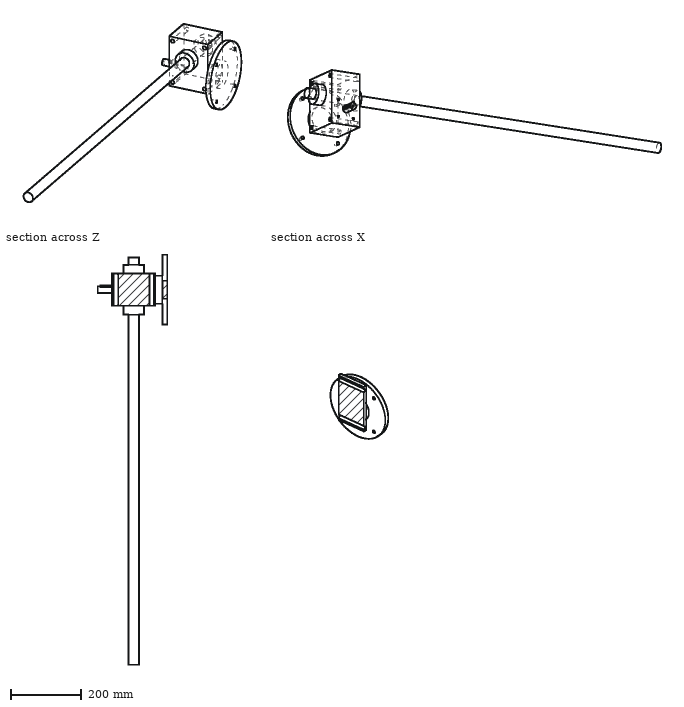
import cadquery as cq


OVERALL_LENGTH = 1170.0
FLANGE_DIAMETER = 200.0

HOUSING_LENGTH = 124.0
HOUSING_WIDTH = 92.0
HOUSING_HEIGHT = 157.0
AXIS_SPACING = 50.0
ROD_TO_TOP = 60.0
HOUSING_TOP = AXIS_SPACING + ROD_TO_TOP
HOUSING_MIDDLE = HOUSING_TOP - HOUSING_HEIGHT / 2
HOUSING_FACE = HOUSING_LENGTH / 2
HOUSING_SIDE = HOUSING_WIDTH / 2

BOSS_DIAMETER = 60.0
BOSS_LENGTH = 25.0

CORNER_HOLE_DIAMETER = 11.0
CORNER_PITCH_X = 102.0
CORNER_PITCH_Z = 130.0

FACE_HOLE_DIAMETER = 4.9
FACE_HOLE_PITCH = 49.0
FACE_HOLE_DEPTH = 12.0

FLANGE_THICKNESS = 14.0
NECK_DIAMETER = 81.0
NECK_LENGTH = 20.0
FLANGE_HOLE_DIAMETER = 8.4
FLANGE_BOLT_CIRCLE = 165.0
FLANGE_HOLE_COUNT = 4
FLANGE_HOLE_ANGLE = 45

ROD_DIAMETER = 30.0
ROD_STUB = 21.0
ROD_REAR = HOUSING_SIDE + BOSS_LENGTH + ROD_STUB
ROD_LENGTH = OVERALL_LENGTH - FLANGE_DIAMETER / 2 + ROD_REAR

SHAFT_DIAMETER = 20.0
SHAFT_LENGTH = 41.0
CENTRE_HOLE_DIAMETER = 4.9
CENTRE_HOLE_DEPTH = 12.0

KEY_LENGTH = 32.0
KEY_WIDTH = 6.0
KEY_HEIGHT = 6.0
KEY_PROTRUSION = 2.0
KEY_END_GAP = 7.0


def cylinder_along_x(diameter, x_start, length):
    """Cylinder on the worm axis, growing towards +X."""
    return cq.Workplane("YZ", origin=(x_start, 0, 0)).circle(diameter / 2).extrude(length)


def cylinder_along_y(diameter, y_rear, length):
    """Cylinder on the rod axis, growing towards -Y."""
    return cq.Workplane("XZ", origin=(0, y_rear, AXIS_SPACING)).circle(diameter / 2).extrude(length)


def make_rod():
    return cylinder_along_y(ROD_DIAMETER, ROD_REAR, ROD_LENGTH)


def make_key():
    x_start = -HOUSING_FACE - SHAFT_LENGTH + KEY_END_GAP
    y_centre = SHAFT_DIAMETER / 2 + KEY_PROTRUSION - KEY_HEIGHT / 2
    return cq.Workplane("XY").box(KEY_LENGTH, KEY_HEIGHT, KEY_WIDTH).translate(
        (x_start + KEY_LENGTH / 2, y_centre, 0)
    )


def make_shaft(key):
    """Input shaft with a centre hole and a keyway that fits the key."""
    free_end = -HOUSING_FACE - SHAFT_LENGTH
    shaft = cylinder_along_x(SHAFT_DIAMETER, free_end, SHAFT_LENGTH)
    centre_hole = cylinder_along_x(CENTRE_HOLE_DIAMETER, free_end, CENTRE_HOLE_DEPTH)
    return shaft.cut(centre_hole).cut(key)


def make_flange():
    """Motor flange on its neck, part of the housing casting."""
    neck = cylinder_along_x(NECK_DIAMETER, HOUSING_FACE, NECK_LENGTH)
    plate_start = HOUSING_FACE + NECK_LENGTH
    plate = cylinder_along_x(FLANGE_DIAMETER, plate_start, FLANGE_THICKNESS)
    holes = (
        cq.Workplane("YZ", origin=(plate_start, 0, 0))
        .polarArray(FLANGE_BOLT_CIRCLE / 2, FLANGE_HOLE_ANGLE, 360, FLANGE_HOLE_COUNT)
        .circle(FLANGE_HOLE_DIAMETER / 2)
        .extrude(FLANGE_THICKNESS)
    )
    return neck.union(plate.cut(holes))


def make_corner_holes():
    return (
        cq.Workplane("XZ", origin=(0, HOUSING_SIDE, HOUSING_MIDDLE))
        .rarray(CORNER_PITCH_X, CORNER_PITCH_Z, 2, 2)
        .circle(CORNER_HOLE_DIAMETER / 2)
        .extrude(HOUSING_WIDTH)
    )


def make_face_holes():
    return (
        cq.Workplane("YZ", origin=(-HOUSING_FACE, 0, 0))
        .rarray(FACE_HOLE_PITCH, FACE_HOLE_PITCH, 2, 2)
        .circle(FACE_HOLE_DIAMETER / 2)
        .extrude(FACE_HOLE_DEPTH)
    )


def make_housing(rod):
    """Block with bosses and motor flange, bored for the rod."""
    block = cq.Workplane("XY", origin=(0, 0, HOUSING_MIDDLE)).box(
        HOUSING_LENGTH, HOUSING_WIDTH, HOUSING_HEIGHT
    )
    bosses = cylinder_along_y(BOSS_DIAMETER, HOUSING_SIDE + BOSS_LENGTH, HOUSING_WIDTH + 2 * BOSS_LENGTH)
    casting = block.union(bosses).union(make_flange())
    return casting.cut(make_corner_holes()).cut(make_face_holes()).cut(rod)


rod = make_rod()
key = make_key()
shaft = make_shaft(key)
housing = make_housing(rod)

result = cq.Compound.makeCompound([housing.val(), rod.val(), shaft.val(), key.val()])